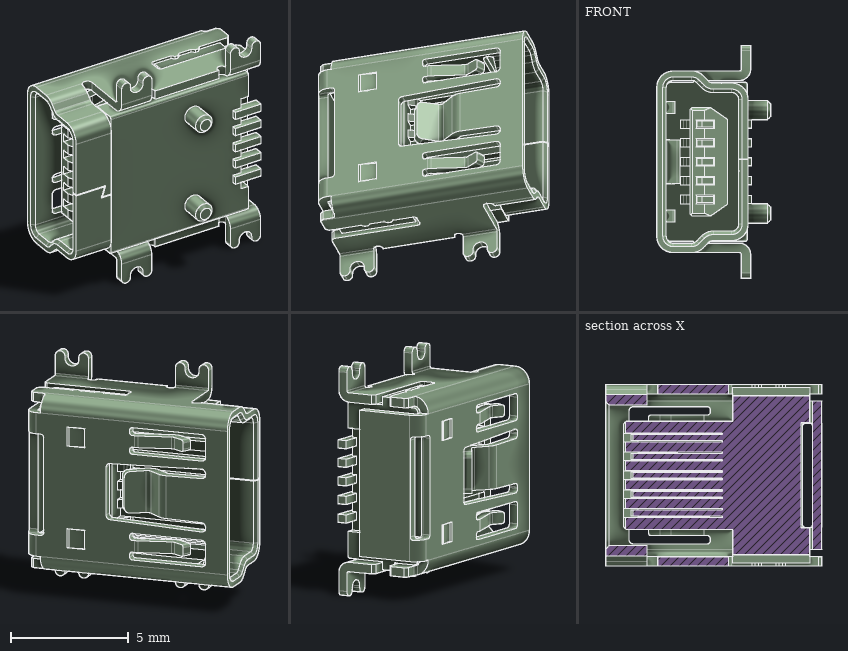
import cadquery as cq
import math


CLEAR = 0.1
FULL_ROUND = 0.99

WALL = 0.41
BEND = 0.3
BEND_OUT = BEND + WALL
LENGTH = 9.2
HALF_WIDTH = 3.86
MOUTH_LENGTH = 1.77
MOUTH_DEPTH = 3.89
MOUTH_STEP_X = 1.485
MOUTH_NARROW = 3.35
MOUTH_CHAMFER = 0.15
FLANGE_DEPTH = 3.66
FLANGE_START = 2.22
GAP_END = 1.41
SEAM = 0.04
SEAM_PATH = [(0, 0.11), (1.46, 0.11), (1.3, -0.4), (MOUTH_LENGTH, -0.4)]

REAR_BEND_OUT = 0.5
REAR_HALF_WIDTH = HALF_WIDTH - BEND_OUT
REAR_DEPTH = 2.97
REAR_SLOT_START = 8.36
REAR_SLOT_HALF = 2.23
REAR_SLOT_DEPTH = 0.48
REAR_SLOT_ROUND = 0.14
RELIEF_START = 8.5
RELIEF_DEPTH = 0.63
RELIEF_ROUND = 0.12

SIDE_SLOT_LEFT = 1.56
SIDE_SLOT_RIGHT = 2.26
SIDE_SLOT_START = 5.21
SIDE_SLOT_ROUND = 0.14
REAR_BEVEL = 0.14
BARB_CENTRES = (6.43, 7.44)
BARB_HEIGHT = 0.13
BARB_TIP = 0.15
BARB_ROOT = 0.41

TAB_WIDTH = 1.51
TAB_STARTS = (FLANGE_START, LENGTH - TAB_WIDTH)
TAB_TOP = 4.95
TAB_INNER_BEND = 0.08
TAB_BEND_X = 3.51
FORK_WIDTH = 0.62
FORK_FLOOR = 4.34
NOTCH_RADIUS = 0.19
NOTCH_DEPTH_X = 3.4

LATCH_ROOT_HALF = 0.97
LATCH_TIP_HALF = 0.9
WINDOW_ROUND = 0.18
WINDOW_FRONT = 1.0
LATCH_REAR = 5.51
LATCH_WINDOW_FRONT = 1.39
LATCH_WINDOW_REAR = 1.23
LATCH_PATH = [(0, WINDOW_FRONT + WINDOW_ROUND), (0, 3.0), (0.63, 3.79), (0.06, 4.71)]
LATCH_TIP_ROUND = 0.25
ARM_LOW, ARM_HIGH = 2.05, 2.56
ARM_WINDOW_LOW, ARM_WINDOW_HIGH = 1.74, 2.91
ARM_REAR = 4.45
ARM_ROOT_ROUND = 0.12
ARM_TIP_ROUND = 0.12
ARM_PATH = [(0, ARM_REAR - ARM_ROOT_ROUND), (0, 4.14), (0.39, 2.6), (0.04, 2.03)]
SPRING_BEND = 0.2

BODY_FRONT = 5.4
BODY_REAR = 8.68
BODY_HALF = 3.39
BODY_TOP_ROUND = 0.2
BODY_BOTTOM_ROUND = 0.1
BODY_BOTTOM = 3.85
TAIL_RECESS = 8.32
EAR_X = 2.75
EAR_INNER = MOUTH_NARROW - WALL
FLOOR_X = MOUTH_DEPTH - WALL
RAIL_RIGHT = 2.16
RAIL_TOP = 3.73
PAD_FRONT, PAD_REAR = 6.49, 7.3
PAD_LOW, PAD_HIGH = 1.82, 2.65
PAD_SINK = 0.1
PAD_BEVEL_LENGTH = 0.09
PAD_BEVEL_DEPTH = 0.03

TONGUE_X = 1.41
TONGUE_DEPTH = 3.01
TONGUE_HALF = 2.31
TONGUE_TIP_HALF = 1.8
TONGUE_SHOULDER = 2.29
TONGUE_FRONT = 0.76
TONGUE_SLOPE_X = 2.04
TONGUE_SLOPE_END = 1.21
TONGUE_CHAMFER = 0.12
TONGUE_EDGE_CHAMFER = 0.1

PITCH = 0.8
CONTACT_COUNT = 5
CONTACT_SLOT = 0.37
CONTACT_SLOT_X = (1.68, 2.46)
CONTACT_GROOVE_START = 1.39
CONTACT_BAR_RIGHT = 2.41
CONTACT_VALLEY = (1.93, 1.24)
CONTACT_BAR_LEFT = 1.71
CONTACT_BAR_WIDTH = 0.27
CONTACT_BAR_START = 1.09
CONTACT_RAMP = [(1.02, BODY_FRONT), (1.15, 5.15), (1.26, 5.04), (TONGUE_X, 4.95)]
TAIL_X = (3.63, 4.04)
TAIL_START = 7.9
TAIL_WIDTH = 0.36

POST_RADIUS = 0.42
POST_TIP = 4.85
POST_CHAMFER = 0.15
POST_Y = 5.9
POST_Z = 2.2


def block(x, y, z):
    """Box spanning three (low, high) ranges."""
    size = [span[1] - span[0] for span in (x, y, z)]
    return cq.Workplane("XY").box(*size, centered=False).translate((x[0], y[0], z[0]))


def extrude_z(points, z):
    """Outline of (x, y) points extruded over a z range."""
    return cq.Workplane("XY").workplane(offset=z[0]).polyline(points).close().extrude(z[1] - z[0])


def extrude_x(points, x):
    """Outline of (y, z) points extruded over an x range."""
    return cq.Workplane("YZ").workplane(offset=x[0]).polyline(points).close().extrude(x[1] - x[0])


def extrude_y(points, y):
    """Outline of (x, z) points extruded over a y range."""
    return cq.Workplane("XZ", origin=(0, y[0], 0)).polyline(points).close().extrude(y[0] - y[1])


def mirrored(solid):
    """The solid together with its mirror image across the middle plane."""
    return solid.union(solid.mirror("XY"))


def bent_strip(path, z):
    """Sheet strip whose outer surface follows a path of (x, y) points; bends are rounded."""
    headings = [math.atan2(b[1] - a[1], b[0] - a[0]) for a, b in zip(path, path[1:])]
    inward = 1 if path[1][1] < path[0][1] else -1
    before = [headings[0]] + headings
    after = headings + [headings[-1]]
    inner = []
    for (x, y), start, end in zip(path, before, after):
        normal = (start + end) / 2 + inward * math.pi / 2
        reach = WALL / math.cos((end - start) / 2)
        inner.append((x + reach * math.cos(normal), y + reach * math.sin(normal)))
    strip = extrude_z(path + inner[::-1], z)
    middle = (z[0] + z[1]) / 2
    for i in range(1, len(path) - 1):
        turns_inward = (headings[i] - headings[i - 1]) * inward > 0
        outer_radius = SPRING_BEND + WALL if turns_inward else SPRING_BEND
        inner_radius = SPRING_BEND if turns_inward else SPRING_BEND + WALL
        for (x, y), radius in ((path[i], outer_radius), (inner[i], inner_radius)):
            strip = strip.edges(cq.NearestToPointSelector((x, y, middle))).fillet(radius)
    return strip


def mouth_prism(inset):
    """Solid bounded by the tube's outer surface moved inward by inset."""
    convex = BEND_OUT - inset
    concave = BEND + inset
    half_turn = math.tan(math.pi / 8)
    wide, narrow = HALF_WIDTH - inset, MOUTH_NARROW - inset
    step_start = MOUTH_STEP_X + convex * half_turn
    step_end = step_start + HALF_WIDTH - MOUTH_NARROW
    corners = [(inset, wide, convex), (step_start, wide, convex),
               (step_end, narrow, concave), (MOUTH_DEPTH - inset, narrow, convex)]
    corners += [(x, -z, radius) for x, z, radius in reversed(corners)]
    prism = extrude_y([(x, z) for x, z, radius in corners], (0, MOUTH_LENGTH))
    for x, z, radius in corners:
        prism = prism.edges(cq.NearestToPointSelector((x, MOUTH_LENGTH / 2, z))).fillet(radius)
    return prism


def mouth():
    """Closed tube with a flared rim and a dovetail seam in its floor."""
    tube = mouth_prism(0).cut(mouth_prism(WALL))
    tube = tube.faces("<Y").wires(cq.selectors.AreaNthSelector(0)).chamfer(MOUTH_CHAMFER)
    seam = cq.Workplane("YZ", origin=(FLOOR_X - CLEAR, 0, 0)).polyline(SEAM_PATH)
    seam = seam.offset2D(SEAM / 2).extrude(WALL + 2 * CLEAR)
    return tube.cut(seam)


def channel():
    """U-shaped rear part of the shell, before the rear wall is added."""
    y = (MOUTH_LENGTH, LENGTH)
    outer = block((0, FLANGE_DEPTH), y, (-HALF_WIDTH, HALF_WIDTH)).edges("|Y and <X").fillet(BEND_OUT)
    half = HALF_WIDTH - WALL
    inner = block((WALL, MOUTH_DEPTH), y, (-half, half)).edges("|Y and <X").fillet(BEND)
    shell = outer.cut(inner)

    gap_width = FLANGE_START - MOUTH_LENGTH
    round_x = GAP_END + gap_width / 2
    across = (-HALF_WIDTH, HALF_WIDTH)
    shell = shell.cut(block((round_x, MOUTH_DEPTH), (MOUTH_LENGTH, FLANGE_START), across))
    gap_end = cq.Workplane("XY").center(round_x, MOUTH_LENGTH + gap_width / 2).circle(gap_width / 2)
    return shell.cut(gap_end.extrude(HALF_WIDTH, both=True))


def rear_wall():
    """Rear wall with its bend."""
    axis_y = LENGTH - REAR_BEND_OUT
    z = (-REAR_HALF_WIDTH, REAR_HALF_WIDTH)
    wall = block((0, REAR_DEPTH), (axis_y - CLEAR, LENGTH), z)
    wall = wall.edges("|Z and <X and >Y").fillet(REAR_BEND_OUT)
    space = block((WALL, REAR_DEPTH), (axis_y - CLEAR, LENGTH - WALL), z)
    return wall.cut(space.edges("|Z and <X and >Y").fillet(REAR_BEND_OUT - WALL))


def corner_cut(x, outward, z):
    """Wedge that bevels the rear corner of a flange edge at x."""
    return extrude_z([(x, LENGTH), (x + outward * REAR_BEVEL, LENGTH), (x, LENGTH - REAR_BEVEL)], z)


def side_slot():
    """Rail slot through one flange, open at the rear, with barbs on its left edge."""
    z = (HALF_WIDTH - WALL - CLEAR, HALF_WIDTH + CLEAR)
    slot = block((SIDE_SLOT_LEFT, SIDE_SLOT_RIGHT), (SIDE_SLOT_START, LENGTH), z)
    slot = slot.edges("|Z and <Y").fillet(SIDE_SLOT_ROUND)
    for y in BARB_CENTRES:
        tip_x = SIDE_SLOT_LEFT + BARB_HEIGHT
        barb = [(SIDE_SLOT_LEFT, y - BARB_ROOT / 2), (tip_x, y - BARB_TIP / 2),
                (tip_x, y + BARB_TIP / 2), (SIDE_SLOT_LEFT, y + BARB_ROOT / 2)]
        slot = slot.cut(extrude_z(barb, z))
    slot = slot.union(corner_cut(SIDE_SLOT_LEFT, -1, z))
    return slot.union(corner_cut(SIDE_SLOT_RIGHT, 1, z))


def tab(start):
    """Forked solder tab bent outward from the upper flange."""
    end = start + TAB_WIDTH
    outer = TAB_INNER_BEND + WALL
    tab_x = (TAB_BEND_X + TAB_INNER_BEND, TAB_BEND_X + outer)
    base = HALF_WIDTH - WALL
    axis = cq.Workplane("XZ", origin=(TAB_BEND_X, start, base + outer))
    ring = axis.circle(outer).circle(TAB_INNER_BEND).extrude(-TAB_WIDTH)
    bend = ring.intersect(block((TAB_BEND_X, tab_x[1]), (start, end), (base, base + outer)))
    plate = block(tab_x, (start, end), (base + outer, TAB_TOP))

    middle = (start + end) / 2
    fork = block(tab_x, (middle - FORK_WIDTH / 2, middle + FORK_WIDTH / 2), (FORK_FLOOR, TAB_TOP))
    plate = plate.cut(fork.edges("|X and <Z").fillet(FORK_WIDTH / 2 * FULL_ROUND))
    prong_radius = (TAB_WIDTH - FORK_WIDTH) / 4
    plate = plate.edges("|X and >Z").fillet(prong_radius * FULL_ROUND)
    return bend.union(plate)


def bend_notch(y):
    """Round-ended relief in the flange edge, centred on y."""
    z = (HALF_WIDTH - WALL - CLEAR, HALF_WIDTH + CLEAR)
    axis_x = NOTCH_DEPTH_X + NOTCH_RADIUS
    notch = block((axis_x, MOUTH_DEPTH), (y - NOTCH_RADIUS, y + NOTCH_RADIUS), z)
    end = cq.Workplane("XY").workplane(offset=z[0]).center(axis_x, y).circle(NOTCH_RADIUS)
    return notch.union(end.extrude(z[1] - z[0]))


def latch_window():
    """Tapered window with a round-ended slot on each side of the latch root."""
    through = (-CLEAR, WALL)
    front, rear = LATCH_WINDOW_FRONT, LATCH_WINDOW_REAR
    outline = [(WINDOW_FRONT, -front), (LATCH_REAR, -rear), (LATCH_REAR, rear), (WINDOW_FRONT, front)]
    window = extrude_x(outline, through).edges("|X and >Y").fillet(WINDOW_ROUND)
    root_end = WINDOW_FRONT + WINDOW_ROUND
    clear_end = LATCH_REAR - WINDOW_ROUND
    across = (-LATCH_ROOT_HALF, LATCH_ROOT_HALF)
    window = window.cut(block(through, (WINDOW_FRONT, clear_end), across))
    window = window.edges("|X and <Y").fillet(WINDOW_ROUND)
    return window.union(block(through, (root_end, clear_end), across))


def latch():
    """Middle spring, joined to the shell at the front and dimpled inward."""
    spring = bent_strip(LATCH_PATH, (-LATCH_ROOT_HALF, LATCH_ROOT_HALF))
    root, tip = LATCH_ROOT_HALF, LATCH_TIP_HALF
    root_y, tip_y = LATCH_PATH[0][1], LATCH_PATH[-1][1] + WALL
    taper = [(root_y, -root), (tip_y, -tip), (tip_y, tip), (root_y, root)]
    spring = spring.intersect(extrude_x(taper, (0, TONGUE_X)))
    return spring.faces(">Y").edges("not |Z").fillet(LATCH_TIP_ROUND)


def arm_window():
    """Window around one spring arm, with a narrow slot on each side of the arm root."""
    through = (-CLEAR, WALL)
    window = block(through, (WINDOW_FRONT, ARM_REAR), (ARM_WINDOW_LOW, ARM_WINDOW_HIGH))
    window = window.edges("|X and <Y").fillet(WINDOW_ROUND)
    clear_start = WINDOW_FRONT + WINDOW_ROUND
    root_end = ARM_REAR - ARM_ROOT_ROUND
    window = window.cut(block(through, (clear_start, ARM_REAR), (ARM_LOW, ARM_HIGH)))
    window = window.edges("|X and >Y").fillet(ARM_ROOT_ROUND)
    return window.union(block(through, (clear_start, root_end), (ARM_LOW, ARM_HIGH)))


def arm():
    """Side spring, joined to the shell at the rear and dimpled inward."""
    strip = bent_strip(ARM_PATH, (ARM_LOW, ARM_HIGH))
    return strip.faces("<Y").edges("not |Z").fillet(ARM_TIP_ROUND)


def corner_relief():
    """Notch that separates the rear wall from one flange."""
    z = (REAR_HALF_WIDTH, HALF_WIDTH)
    relief = block((0, RELIEF_DEPTH), (RELIEF_START, LENGTH), z)
    relief = relief.edges("|Z and <Y and >X").fillet(RELIEF_ROUND)
    return relief.union(corner_cut(RELIEF_DEPTH, 1, z))


def tail_slot():
    """Opening above the contact tails, notched into the rear wall."""
    z = (-REAR_SLOT_HALF, REAR_SLOT_HALF)
    slot = block((0, REAR_SLOT_DEPTH), (REAR_SLOT_START, LENGTH), z)
    slot = slot.edges("|Y and >X").fillet(REAR_SLOT_ROUND)
    return slot.edges("|X and <Y").fillet(REAR_SLOT_ROUND)


def shell():
    """Complete sheet-metal shell with tabs and springs."""
    body = channel()
    bend_y = LENGTH - REAR_BEND_OUT
    body = body.cut(block((0, BEND_OUT), (bend_y, LENGTH), (-REAR_HALF_WIDTH, REAR_HALF_WIDTH)))
    body = body.cut(mirrored(corner_relief()))
    body = body.union(rear_wall())
    body = body.cut(tail_slot())
    body = body.cut(mirrored(side_slot()))

    for start in TAB_STARTS:
        trim = block((TAB_BEND_X, MOUTH_DEPTH), (start, start + TAB_WIDTH), (HALF_WIDTH - WALL, HALF_WIDTH))
        body = body.cut(mirrored(trim)).union(mirrored(tab(start)))
    front_notch = TAB_STARTS[0] + TAB_WIDTH + NOTCH_RADIUS
    rear_notch = TAB_STARTS[1] - NOTCH_RADIUS
    for y in (front_notch, rear_notch):
        body = body.cut(mirrored(bend_notch(y)))

    pad_window = block((-CLEAR, WALL), (PAD_FRONT, PAD_REAR), (PAD_LOW, PAD_HIGH))
    body = body.union(mouth())
    body = body.cut(latch_window()).cut(mirrored(arm_window())).cut(mirrored(pad_window))
    return body.union(latch()).union(mirrored(arm()))


def moulding():
    """Main body with rails, pads, front side walls and floor."""
    across = (-BODY_HALF, BODY_HALF)
    body = block((WALL, BODY_BOTTOM), (BODY_FRONT, BODY_REAR), across)
    body = body.edges("|Y and <X").fillet(BODY_TOP_ROUND)
    tray = block((EAR_X, BODY_BOTTOM), (MOUTH_LENGTH, BODY_FRONT), across)
    tray = tray.cut(block((EAR_X, FLOOR_X), (MOUTH_LENGTH, BODY_FRONT), (-EAR_INNER, EAR_INNER)))
    body = body.union(tray).edges("|Y and >X").fillet(BODY_BOTTOM_ROUND)

    recess = block((WALL, BODY_BOTTOM), (TAIL_RECESS, BODY_REAR), (-REAR_SLOT_HALF, REAR_SLOT_HALF))
    body = body.cut(recess)
    rail = block((SIDE_SLOT_LEFT, RAIL_RIGHT), (BODY_FRONT, BODY_REAR), (BODY_HALF - CLEAR, RAIL_TOP))
    body = body.union(mirrored(rail))
    pad_outline = [(WALL, PAD_FRONT), (PAD_SINK, PAD_FRONT), (0, PAD_REAR - PAD_BEVEL_LENGTH),
                   (PAD_BEVEL_DEPTH, PAD_REAR), (WALL, PAD_REAR)]
    return body.union(mirrored(extrude_z(pad_outline, (PAD_LOW, PAD_HIGH))))


def tongue():
    """Tongue with a chamfered tip, before the contact cavities are cut."""
    slope_outline = [
        (TONGUE_X, BODY_FRONT), (TONGUE_X, TONGUE_FRONT + TONGUE_CHAMFER),
        (TONGUE_X + TONGUE_CHAMFER, TONGUE_FRONT), (TONGUE_SLOPE_X, TONGUE_FRONT),
        (TONGUE_DEPTH, TONGUE_SLOPE_END), (TONGUE_DEPTH, BODY_FRONT),
    ]
    section = [
        (TONGUE_X, -TONGUE_HALF), (TONGUE_SHOULDER, -TONGUE_HALF), (TONGUE_DEPTH, -TONGUE_TIP_HALF),
        (TONGUE_DEPTH, TONGUE_TIP_HALF), (TONGUE_SHOULDER, TONGUE_HALF), (TONGUE_X, TONGUE_HALF),
    ]
    plan = block((TONGUE_X, TONGUE_DEPTH), (TONGUE_FRONT, BODY_FRONT), (-TONGUE_HALF, TONGUE_HALF))
    plan = plan.edges("|X and <Y").chamfer(TONGUE_CHAMFER)
    solid = extrude_z(slope_outline, (-TONGUE_HALF, TONGUE_HALF))
    bar = extrude_y(section, (TONGUE_FRONT, BODY_FRONT)).edges("|Y and <X").chamfer(TONGUE_EDGE_CHAMFER)
    return solid.intersect(bar).intersect(plan)


def contact_cavity(z):
    """Slot through the tongue tip, open along the contact side behind the tip."""
    slot = (z - CONTACT_SLOT / 2, z + CONTACT_SLOT / 2)
    cavity = block(CONTACT_SLOT_X, (TONGUE_FRONT, BODY_FRONT), slot)
    groove = block((TONGUE_X, CONTACT_SLOT_X[1]), (CONTACT_GROOVE_START, BODY_FRONT), slot)
    return cavity.union(groove)


def contact(z):
    """Bar inside the tongue, ramp at its root and solder tail at the rear."""
    bar_half = CONTACT_BAR_WIDTH / 2
    front = [(CONTACT_BAR_RIGHT, CONTACT_BAR_START), CONTACT_VALLEY, (CONTACT_BAR_LEFT, CONTACT_BAR_START)]
    back = [(CONTACT_BAR_LEFT, BODY_FRONT), (CONTACT_BAR_RIGHT, BODY_FRONT)]
    bar = extrude_z(front + back, (z - bar_half, z + bar_half))
    foot_y = CONTACT_RAMP[-1][1]
    outline = CONTACT_RAMP + [(CONTACT_BAR_RIGHT, foot_y), (CONTACT_BAR_RIGHT, BODY_FRONT)]
    ramp = extrude_z(outline, (z - CONTACT_SLOT / 2, z + CONTACT_SLOT / 2))
    tail = block(TAIL_X, (TAIL_START, LENGTH), (z - TAIL_WIDTH / 2, z + TAIL_WIDTH / 2))
    return bar.union(ramp), tail


def post():
    """Locating post with a chamfered tip."""
    base = cq.Workplane("YZ").workplane(offset=FLOOR_X).center(POST_Y, POST_Z).circle(POST_RADIUS)
    return base.extrude(POST_TIP - FLOOR_X).faces(">X").chamfer(POST_CHAMFER)


blade = tongue()
insulator = moulding()
for index in range(CONTACT_COUNT):
    contact_z = (index - (CONTACT_COUNT - 1) / 2) * PITCH
    bar, tail = contact(contact_z)
    blade = blade.cut(contact_cavity(contact_z)).union(bar)
    insulator = insulator.union(tail)

connector = shell().union(insulator).union(blade).union(mirrored(post()))
result = cq.Workplane("XY").newObject([connector.solids().val()])